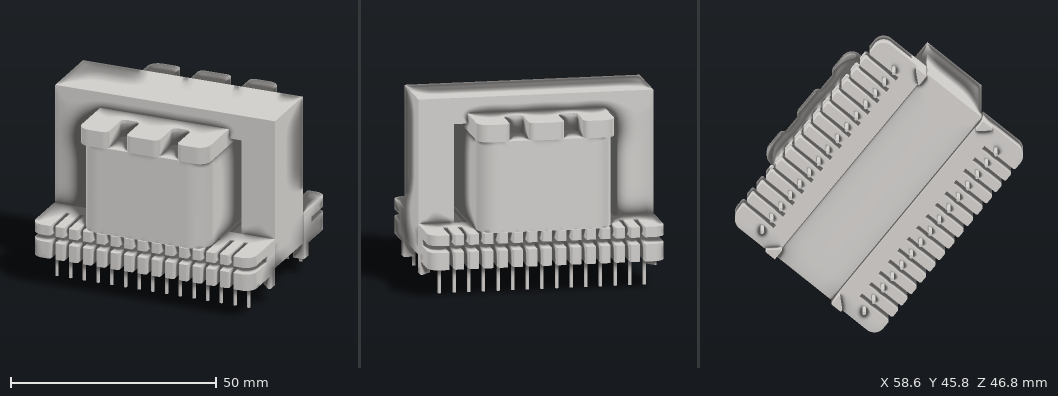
import cadquery as cq


base_length = 58.61
overall_depth = 45.75
overall_height = 46.75
base_height = 8.65
corner_radius = 2.86

core_depth = 17.05
core_gap = 0.35
tape_length = 58.3
tape_thickness = 0.2
tape_height = 38.7
split_z = 20.25
window_length = 40.6
window_height = 25.7

flange_length = 34.1
flange_bottom_z = 31.35
flange_top_z = 35.7
lower_web_thickness = 1.05
upper_web_thickness = 1.5
flange_slot_width = 4.83
flange_slot_offset = 6.75
flange_slot_depth = 9.45
flange_slot_radius = corner_radius / 2

bobbin_hole_length = 15.45
tube_wall = 1.3

coil_length = 33.3
coil_depth = 44.9
coil_corner_radius = 5.0

pins_per_row = 15
pin_pitch = 3.634
pin_diameter = 0.85
pin_row_y = 16.0

wire_slot_width = 1.2
wire_slot_end_y = 13.4
wire_slot_edge_radius = 0.45
groove_bottom_z = 4.3
groove_top_z = 6.05

foot_length = 2.85
foot_depth = 3.05
foot_height = 3.4
foot_end_width = 0.43
foot_end_slope = 0.15
foot_tip_width = 0.35

core_length = tape_length - 2 * tape_thickness
core_height = tape_height - 2 * tape_thickness
bobbin_inner_y = core_depth / 2 + core_gap
bobbin_outer_y = overall_depth / 2
bobbin_side_depth = bobbin_outer_y - bobbin_inner_y
bobbin_hole_depth = 2 * bobbin_inner_y
center_leg_length = bobbin_hole_length - 2 * core_gap
tube_length = bobbin_hole_length + 2 * tube_wall
tube_depth = bobbin_hole_depth + 2 * tube_wall
lower_web_z = base_height - lower_web_thickness
pin_length = overall_height - split_z - tape_height / 2


def block(length, depth, bottom_z, top_z, center_x=0, center_y=0):
    """Box given by its plan size, plan centre and Z range."""
    return (
        cq.Workplane("XY", origin=(center_x, center_y, bottom_z))
        .box(length, depth, top_z - bottom_z, centered=(True, True, False))
    )


def both_sides(front):
    """The -Y half of a feature together with its mirror image at +Y."""
    return front.union(front.mirror("XZ"))


def make_core_half(top):
    """One E-shaped half of the core, above or below the split plane."""
    outer = core_height / 2
    inner = window_height / 2
    half = block(core_length, core_depth, 0, outer)
    half = half.cut(block(window_length, core_depth, 0, inner))
    half = half.union(block(center_leg_length, core_depth, 0, inner))
    if not top:
        half = half.mirror("XY")
    return half.translate((0, 0, split_z))


def make_tape():
    """Thin band wrapped once around the outside of the core."""
    band = block(tape_length, core_depth, -tape_height / 2, tape_height / 2)
    opening = block(core_length, core_depth, -core_height / 2, core_height / 2)
    return band.cut(opening).translate((0, 0, split_z))


def make_coil():
    """Rounded winding block that fills the space around the bobbin tube."""
    coil = block(coil_length, coil_depth, base_height, flange_bottom_z)
    coil = coil.edges("|Z").fillet(coil_corner_radius)
    return coil.cut(block(tube_length, tube_depth, base_height, flange_bottom_z))


def make_bobbin_side(length, bottom_z, top_z):
    """Slab on the -Y side of the core with two rounded outer corners."""
    center_y = -(bobbin_inner_y + bobbin_outer_y) / 2
    slab = block(length, bobbin_side_depth, bottom_z, top_z, center_y=center_y)
    return slab.edges("|Z and <Y").fillet(corner_radius)


def mouth_edges(body, slot_centers, slot_width):
    """Vertical edges where slots open through the outer -Y face."""
    tolerance = 0.01
    mouths = []
    for center_x in slot_centers:
        mouths += [center_x - slot_width / 2, center_x + slot_width / 2]
    return body.edges("|Z").filter(
        lambda edge: abs(edge.Center().y + bobbin_outer_y) < tolerance
        and any(abs(edge.Center().x - mouth_x) < tolerance for mouth_x in mouths)
    )


def make_flange_side():
    """Front half of the top flange with two rounded wire slots."""
    slot_centers = [-flange_slot_offset, flange_slot_offset]
    side = make_bobbin_side(flange_length, flange_bottom_z, flange_top_z)
    slot_center_y = -bobbin_outer_y + flange_slot_depth / 2
    for center_x in slot_centers:
        slot = block(
            flange_slot_width, flange_slot_depth, flange_bottom_z, flange_top_z, center_x, slot_center_y
        )
        side = side.cut(slot.edges("|Z and >Y").fillet(flange_slot_radius))
    return mouth_edges(side, slot_centers, flange_slot_width).fillet(flange_slot_radius)


def make_base_side():
    """Front half of the pin base: wire slots between the pins and a groove along X."""
    side = make_bobbin_side(base_length, 0, base_height)
    cut_depth = bobbin_outer_y - wire_slot_end_y
    cut_center_y = -(bobbin_outer_y + wire_slot_end_y) / 2
    slot_centers = [(i - (pins_per_row - 2) / 2) * pin_pitch for i in range(pins_per_row - 1)]
    for center_x in slot_centers:
        side = side.cut(block(wire_slot_width, cut_depth, 0, base_height, center_x, cut_center_y))
    side = mouth_edges(side, slot_centers, wire_slot_width).fillet(wire_slot_edge_radius)
    return side.cut(block(base_length, cut_depth, groove_bottom_z, groove_top_z, center_y=cut_center_y))


def make_front_feet():
    """Two gusset-shaped standoff feet under the inner corners of the front half of the base."""
    outer_x = base_length / 2
    tip_x = outer_x - foot_length
    inner_y = -bobbin_inner_y
    end_y = inner_y - foot_depth
    profile = [
        (outer_x, inner_y),
        (outer_x, end_y + foot_end_slope),
        (outer_x - foot_end_width, end_y),
        (tip_x, inner_y - foot_tip_width),
        (tip_x, inner_y),
    ]
    foot = cq.Workplane("XY").polyline(profile).close().extrude(-foot_height)
    return foot.union(foot.mirror("YZ"))


def make_front_pins():
    """Row of round pins below the front half of the base."""
    positions = [((i - (pins_per_row - 1) / 2) * pin_pitch, -pin_row_y) for i in range(pins_per_row)]
    return cq.Workplane("XY").pushPoints(positions).circle(pin_diameter / 2).extrude(-pin_length)


def make_bobbin():
    """Bobbin with base, tube, top flange, feet and moulded-in pins."""
    front = make_base_side().union(make_flange_side())
    front = front.union(make_front_feet()).union(make_front_pins())
    upper_web_z = flange_bottom_z + upper_web_thickness
    webs_and_tube = (
        block(flange_length, bobbin_hole_depth, lower_web_z, base_height)
        .union(block(flange_length, bobbin_hole_depth, flange_bottom_z, upper_web_z))
        .union(block(tube_length, tube_depth, base_height, flange_bottom_z))
    )
    hole = block(bobbin_hole_length, bobbin_hole_depth, lower_web_z, upper_web_z)
    return both_sides(front).union(webs_and_tube).cut(hole)


bobbin = make_bobbin()
coil = make_coil()
upper_core = make_core_half(top=True)
lower_core = make_core_half(top=False)
tape = make_tape()

result = cq.Compound.makeCompound(
    [bobbin.val(), coil.val(), upper_core.val(), lower_core.val(), tape.val()]
)